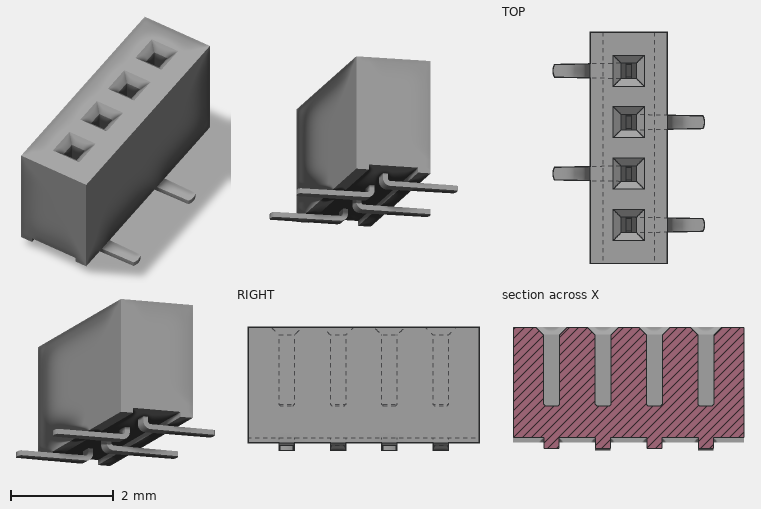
import cadquery as cq
import math

body_width = 1.5
body_length = 4.5
body_height = 2.25
standoff = 0.15
foot_width = 0.25
foot_height = 0.1
body_top = standoff + body_height
recess_roof = standoff + foot_height

contact_count = 4
pitch = 1.0
lead_span = 2.95
lead_reach = lead_span / 2
lead_thickness = 0.1
lead_root_width = 0.3
lead_tip_width = 0.25
tip_bulge = 0.03
bend_inner_radius = lead_thickness / 2
bend_outer_radius = bend_inner_radius + lead_thickness

mouth_size = 0.605
socket_size = 0.3
mouth_depth = (mouth_size - socket_size) / 2
socket_depth = 1.5
groove_width = lead_thickness
groove_floor_length = 0.245
groove_depth = (socket_size - groove_floor_length) / 2


def make_housing():
    """Block with a full-length recess underneath that leaves a foot along each side."""
    block = cq.Workplane("XY").box(body_width, body_length, body_height, centered=(True, True, False))
    recess = cq.Workplane("XY").box(
        body_width - 2 * foot_width, body_length, foot_height, centered=(True, True, False)
    )
    return block.cut(recess).translate((0, 0, standoff))


def make_socket(y):
    """Square socket with a tapered mouth and a shallow contact groove in its floor."""
    floor_z = body_top - socket_depth
    mouth = (
        cq.Workplane("XY", origin=(0, y, body_top))
        .rect(mouth_size, mouth_size)
        .workplane(offset=-mouth_depth)
        .rect(socket_size, socket_size)
        .loft(ruled=True)
    )
    shaft = cq.Workplane("XY", origin=(0, y, floor_z)).rect(socket_size, socket_size)
    shaft = shaft.extrude(socket_depth - mouth_depth)
    groove = (
        cq.Workplane("YZ", origin=(0, y, floor_z))
        .moveTo(-socket_size / 2, 0)
        .lineTo(-groove_floor_length / 2, -groove_depth)
        .lineTo(groove_floor_length / 2, -groove_depth)
        .lineTo(socket_size / 2, 0)
        .close()
        .extrude(groove_width / 2, both=True)
    )
    return mouth.union(shaft).union(groove)


def make_lead(y, side):
    """Bent lead leaving the recess roof and running out toward +X (side=1) or -X (side=-1)."""
    half_thickness = lead_thickness / 2
    bend_x = half_thickness + bend_inner_radius
    bend_z = lead_thickness + bend_inner_radius
    diagonal = math.sqrt(0.5)
    inner_mid = (bend_x - bend_inner_radius * diagonal, bend_z - bend_inner_radius * diagonal)
    outer_mid = (bend_x - bend_outer_radius * diagonal, bend_z - bend_outer_radius * diagonal)

    profile = (
        cq.Workplane("XZ")
        .moveTo(-half_thickness, recess_roof)
        .lineTo(-half_thickness, bend_z)
        .threePointArc(outer_mid, (bend_x, 0))
        .lineTo(lead_reach, 0)
        .lineTo(lead_reach, lead_thickness)
        .lineTo(bend_x, lead_thickness)
        .threePointArc(inner_mid, (half_thickness, bend_z))
        .lineTo(half_thickness, recess_roof)
        .close()
        .extrude(lead_root_width / 2, both=True)
    )
    tip_corner_x = lead_reach - tip_bulge
    plan = (
        cq.Workplane("XY")
        .moveTo(-half_thickness, -lead_root_width / 2)
        .lineTo(bend_x, -lead_root_width / 2)
        .lineTo(tip_corner_x, -lead_tip_width / 2)
        .threePointArc((lead_reach, 0), (tip_corner_x, lead_tip_width / 2))
        .lineTo(bend_x, lead_root_width / 2)
        .lineTo(-half_thickness, lead_root_width / 2)
        .close()
        .extrude(recess_roof)
    )
    lead = profile.intersect(plan)
    if side < 0:
        lead = lead.mirror("YZ")
    return lead.translate((0, y, 0))


result = make_housing()
for index in range(contact_count):
    contact_y = (index - (contact_count - 1) / 2) * pitch
    lead_side = 1 if index % 2 == 0 else -1
    result = result.cut(make_socket(contact_y))
    result = result.union(make_lead(contact_y, lead_side))